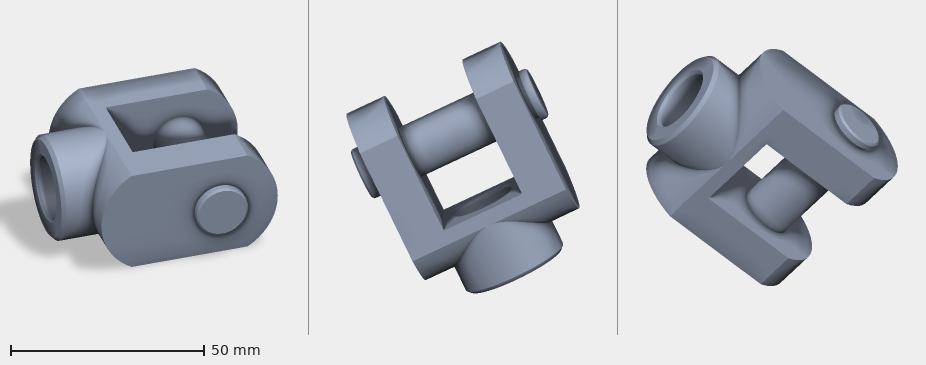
import cadquery as cq
import math

fork_width = 44.05
fork_height = 28.0
end_radius = 16.0
slot_width = 22.5
slot_floor_y = -20.0
fork_front_y = -32.0

boss_diameter = fork_height
boss_front_y = end_radius - 55.95
boss_chamfer = 1.0
bore_diameter = 16.5
bore_chamfer = 0.7

pin_length = 50.4
pin_diameter = 14.0
pin_chamfer = 0.5
groove_diameter = 12.1
groove_width = 1.1

half_height = fork_height / 2
arc_reach = math.sqrt(end_radius**2 - half_height**2)
front_arc_center_y = fork_front_y + end_radius


def cylinder_y(diameter, start_y, end_y):
    """Solid cylinder on the Y axis between two Y positions."""
    plane = cq.Plane(origin=(0, start_y, 0), xDir=(1, 0, 0), normal=(0, 1, 0))
    return cq.Workplane(plane).circle(diameter / 2).extrude(end_y - start_y)


def make_fork_block():
    """Side outline with two rounded ends, extruded across the fork width."""
    rear_corner_y = arc_reach
    front_corner_y = front_arc_center_y - arc_reach
    return (
        cq.Workplane("YZ")
        .moveTo(front_corner_y, half_height)
        .lineTo(rear_corner_y, half_height)
        .threePointArc((end_radius, 0), (rear_corner_y, -half_height))
        .lineTo(front_corner_y, -half_height)
        .threePointArc((fork_front_y, 0), (front_corner_y, half_height))
        .close()
        .extrude(fork_width / 2, both=True)
    )


def make_boss():
    """Round boss reaching from the slot floor to the front, chamfered there."""
    boss = cylinder_y(boss_diameter, boss_front_y, slot_floor_y)
    return boss.faces("<Y").chamfer(boss_chamfer)


def make_slot():
    """Open slot between the arms, through the full height."""
    slot_length = end_radius - slot_floor_y
    slot_center_y = (end_radius + slot_floor_y) / 2
    return cq.Workplane("XY").box(slot_width, slot_length, fork_height).translate((0, slot_center_y, 0))


def make_fork():
    """Fork with its boss, slot, bore and cross hole for the pin."""
    bore = cylinder_y(bore_diameter, boss_front_y, slot_floor_y)
    pin_hole = cq.Workplane("YZ").circle(pin_diameter / 2).extrude(fork_width / 2, both=True)
    fork = make_fork_block().union(make_boss()).cut(make_slot()).cut(bore).cut(pin_hole)
    return fork.faces("<Y").edges("%CIRCLE").edges(cq.selectors.RadiusNthSelector(0)).chamfer(bore_chamfer)


def make_pin():
    """Chamfered pin with a ring groove against the outer face of each arm."""
    pin = cq.Workplane("YZ").circle(pin_diameter / 2).extrude(pin_length / 2, both=True)
    pin = pin.faces("<X or >X").chamfer(pin_chamfer)
    for side in (-1, 1):
        groove = (
            cq.Workplane("YZ", origin=(side * fork_width / 2, 0, 0))
            .circle(pin_diameter / 2)
            .circle(groove_diameter / 2)
            .extrude(side * groove_width)
        )
        pin = pin.cut(groove)
    return pin


fork = make_fork()
pin = make_pin()
result = cq.Compound.makeCompound([fork.solids().val(), pin.solids().val()])